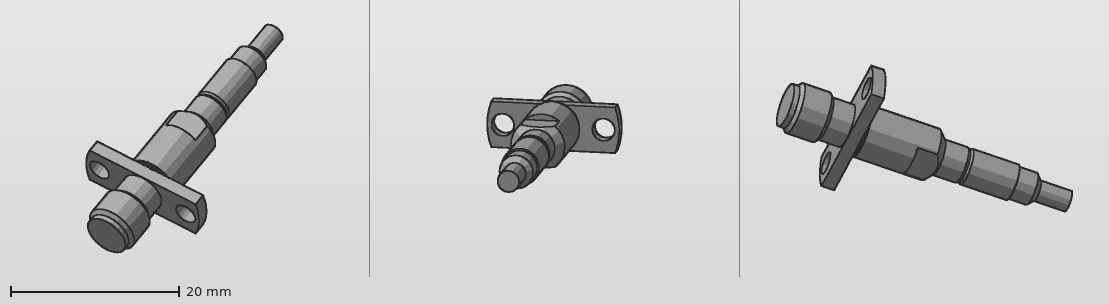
import cadquery as cq


TIP_DIAMETER = 5.35
HEAD_DIAMETER = 6.3
NECK_DIAMETER = 5.3
BODY_DIAMETER = 6.5
SHANK_DIAMETER = 4.5
GROOVE_DIAMETER = 4.2
SLEEVE_DIAMETER = 4.05
CABLE_DIAMETER = 2.6

HEAD_FRONT_Y = 0.7
HEAD_BACK_Y = 5.08
FLANGE_FRONT_Y = 7.85
FLANGE_THICKNESS = 1.65
BODY_FRONT_Y = 9.7
FLAT_FRONT_Y = 16.2
BODY_BACK_Y = 19.75
GROOVE_Y = 23.03
SHANK_BACK_Y = 29.3
SLEEVE_BACK_Y = 32.5
CABLE_END_Y = 36.5

BODY_FRONT_CHAMFER = 0.12
GROOVE_WIDTH = 0.64

ACROSS_FLATS = 5.0

FLANGE_LENGTH = 16.0
FLANGE_HEIGHT = 5.6
FLANGE_HOLE_DIAMETER = 2.7
FLANGE_HOLE_SPACING = 12.2


def turned_body():
    """Revolve the half profile, given as (radius, y) points, about Y."""
    tip = TIP_DIAMETER / 2
    head = HEAD_DIAMETER / 2
    neck = NECK_DIAMETER / 2
    body = BODY_DIAMETER / 2
    shank = SHANK_DIAMETER / 2
    sleeve = SLEEVE_DIAMETER / 2
    cable = CABLE_DIAMETER / 2

    head_slope = head - tip
    body_slope = body - shank
    sleeve_slope = sleeve - cable

    profile = [
        (0, 0),
        (tip, 0),
        (tip, HEAD_FRONT_Y),
        (head, HEAD_FRONT_Y + head_slope),
        (head, HEAD_BACK_Y - head_slope),
        (tip, HEAD_BACK_Y),
        (tip, FLANGE_FRONT_Y),
        (neck, FLANGE_FRONT_Y),
        (neck, BODY_FRONT_Y),
        (body - BODY_FRONT_CHAMFER, BODY_FRONT_Y),
        (body, BODY_FRONT_Y + BODY_FRONT_CHAMFER),
        (body, BODY_BACK_Y - body_slope),
        (shank, BODY_BACK_Y),
        (shank, GROOVE_Y - GROOVE_WIDTH / 2),
        (GROOVE_DIAMETER / 2, GROOVE_Y),
        (shank, GROOVE_Y + GROOVE_WIDTH / 2),
        (shank, SHANK_BACK_Y),
        (sleeve, SHANK_BACK_Y),
        (sleeve, SLEEVE_BACK_Y - sleeve_slope),
        (cable, SLEEVE_BACK_Y),
        (cable, CABLE_END_Y),
        (0, CABLE_END_Y),
    ]
    return cq.Workplane("XY").polyline(profile).close().revolve(360, (0, 0, 0), (0, 1, 0))


def wrench_flat(side):
    """Block to cut away above (side = 1) or below (side = -1) a wrench flat."""
    depth = (BODY_DIAMETER - ACROSS_FLATS) / 2
    length = BODY_BACK_Y - FLAT_FRONT_Y
    centre_z = side * (ACROSS_FLATS + depth) / 2
    block = cq.Workplane("XY").box(BODY_DIAMETER, length, depth)
    return block.translate((0, FLAT_FRONT_Y + length / 2, centre_z))


def flange():
    """Disc trimmed to the flange height, with a hole near each end."""
    front = cq.Workplane("XZ", origin=(0, FLANGE_FRONT_Y, 0))
    disc = front.circle(FLANGE_LENGTH / 2).extrude(-FLANGE_THICKNESS)
    strip = front.rect(FLANGE_LENGTH, FLANGE_HEIGHT).extrude(-FLANGE_THICKNESS)
    half_spacing = FLANGE_HOLE_SPACING / 2
    holes = (
        front.pushPoints([(-half_spacing, 0), (half_spacing, 0)])
        .circle(FLANGE_HOLE_DIAMETER / 2)
        .extrude(-FLANGE_THICKNESS)
    )
    return disc.intersect(strip).cut(holes)


result = turned_body()
for side in (1, -1):
    result = result.cut(wrench_flat(side))
result = result.union(flange())